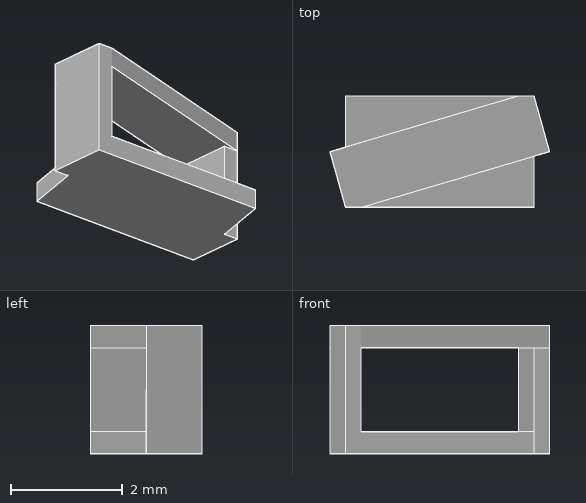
import cadquery as cq

tip_half_length = 1.97
half_width = 1.0
total_height = 2.3
slab_thickness = 0.4
post_width = 0.28
post_lean = 0.28

corner_x = tip_half_length - post_lean
post_inner_x = corner_x - post_width
tip_inner_x = tip_half_length - post_width
post_height = total_height - 2 * slab_thickness
bar_bottom_z = total_height - slab_thickness


def prism(outline, bottom_z, height):
    """Upright prism on a closed polygon."""
    return cq.Workplane("XY").workplane(offset=bottom_z).polyline(outline).close().extrude(height)


def half_turn(body):
    """Copy of a body turned 180 degrees about Z."""
    return body.rotate((0, 0, 0), (0, 0, 1), 180)


def base_half():
    """The -Y half of the base plate, with a slanted edge ending in the -X tip."""
    outline = [
        (-tip_half_length, 0),
        (-corner_x, -half_width),
        (corner_x, -half_width),
        (corner_x, 0),
    ]
    return prism(outline, 0, slab_thickness)


def post():
    """The -X post, a parallelogram in plan that covers the slanted base edge."""
    outline = [
        (-tip_half_length, 0),
        (-corner_x, -half_width),
        (-post_inner_x, -half_width),
        (-tip_inner_x, 0),
    ]
    return prism(outline, slab_thickness, post_height)


def top_bar():
    """Six-sided diagonal bar that joins the tops of both posts."""
    outline = [
        (-tip_half_length, 0),
        (-corner_x, -half_width),
        (-post_inner_x, -half_width),
        (tip_half_length, 0),
        (corner_x, half_width),
        (post_inner_x, half_width),
    ]
    return prism(outline, bar_bottom_z, slab_thickness)


result = base_half()
for piece in (half_turn(base_half()), post(), half_turn(post()), top_bar()):
    result = result.union(piece, clean=False)